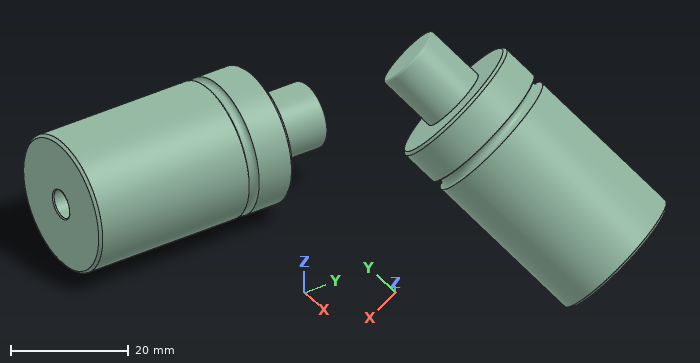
import cadquery as cq
import math

body_diameter = 25.0
body_length = 39.0
body_chamfer = 0.5

pin_diameter = 12.0
pin_length = 11.0
pin_tip_radius = 0.5

groove_radius = 1.0
groove_to_shoulder = 8.0
groove_position = body_length - groove_to_shoulder

hole_diameter = 5.2
hole_depth = 12.0
hole_mouth_diameter = 5.52
hole_mouth_depth = 0.25
drill_point_angle = 120.0


def cylinder(diameter, start, length):
    """Solid cylinder on the Y axis running from start toward +Y."""
    return cq.Workplane(cq.Solid.makeCylinder(
        diameter / 2, length, cq.Vector(0, start, 0), cq.Vector(0, 1, 0)))


def make_body():
    return cylinder(body_diameter, 0, body_length).edges("%CIRCLE").chamfer(body_chamfer)


def make_pin():
    pin = cylinder(pin_diameter, body_length, pin_length)
    return pin.faces(">Y").edges().fillet(pin_tip_radius)


def make_groove():
    """Ring of round section centred on the body surface."""
    return cq.Workplane(cq.Solid.makeTorus(
        body_diameter / 2, groove_radius, cq.Vector(0, groove_position, 0), cq.Vector(0, 1, 0)))


def make_hole():
    """Blind drilled hole with a conical bottom and a tapered mouth."""
    radius = hole_diameter / 2
    point_length = radius / math.tan(math.radians(drill_point_angle / 2))
    half_section = (
        cq.Workplane("XY")
        .moveTo(0, 0)
        .lineTo(hole_mouth_diameter / 2, 0)
        .lineTo(radius, hole_mouth_depth)
        .lineTo(radius, hole_depth)
        .lineTo(0, hole_depth + point_length)
        .close()
    )
    return half_section.revolve(360, (0, 0, 0), (0, 1, 0))


result = make_body().union(make_pin()).cut(make_groove()).cut(make_hole())